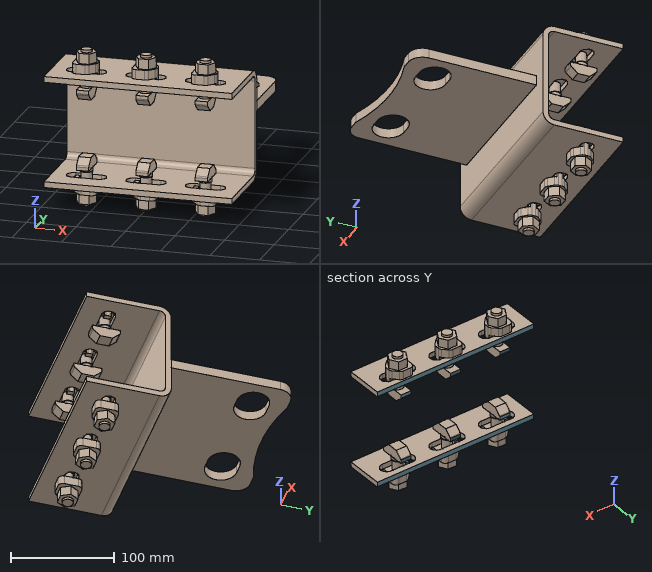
import cadquery as cq
import math

channel_width = 190.0
channel_height = 113.2
channel_depth = 86.0
wall = 6.0
bend_inner_radius = 6.0
bend_outer_radius = bend_inner_radius + wall

bolts_per_flange = 3
bolt_pitch = 60.0
bolt_from_web_face = 57.0
slot_length = 40.0
slot_width = 14.0

total_depth = 216.0
plate_length = total_depth - channel_depth
plate_width = 160.0
plate_thickness = 10.5
plate_corner_radius = 15.0
scoop_half_width = 55.3
scoop_depth = 9.0
plate_slot_length = 41.7
plate_slot_width = 32.0
plate_slot_pitch = 95.7
plate_slot_from_end = 34.0

total_height = 158.8
shank_diameter = 11.0
washer_side = 24.0
washer_thickness = 9.7
washer_corner_chamfer = 8.0
washer_corner_radius = 5.0
lug_width = 7.0
lug_height = 5.0
lug_length = 5.0
nut_across_flats = 18.0
nut_thickness = 10.4
head_width = 12.5
head_length = 28.3
head_height = 11.5
head_side_height = 4.3
head_end_length = 12.7
head_edge_radius = 2.2
head_gap = 9.7
collar_diameter = 12.7
collar_height = 4.0

web_face_y = channel_depth
plate_end_y = total_depth
bolt_y = web_face_y - bolt_from_web_face
bolt_xs = [(i - (bolts_per_flange - 1) / 2) * bolt_pitch for i in range(bolts_per_flange)]
flange_face_z = channel_height / 2


def make_channel():
    """U-channel with rounded bends and a row of slots through both flanges."""
    outer = (
        cq.Workplane("XY")
        .box(channel_width, channel_depth, channel_height, centered=(True, False, True))
        .edges("|X and >Y")
        .fillet(bend_outer_radius)
    )
    inner = (
        cq.Workplane("XY")
        .box(channel_width, channel_depth - wall, channel_height - 2 * wall, centered=(True, False, True))
        .edges("|X and >Y")
        .fillet(bend_inner_radius)
    )
    slots = (
        cq.Workplane("XY", origin=(0, bolt_y, 0))
        .pushPoints([(x, 0) for x in bolt_xs])
        .slot2D(slot_length, slot_width)
        .extrude(channel_height, both=True)
    )
    return outer.cut(inner).cut(slots)


def make_plate():
    """Flat plate with two rounded corners, a scooped end and two slots."""
    blank = (
        cq.Workplane("XY")
        .box(plate_width, plate_length, plate_thickness, centered=(True, False, True))
        .translate((0, web_face_y, 0))
        .edges("|Z and >Y")
        .fillet(plate_corner_radius)
    )
    scoop = (
        cq.Workplane("XY")
        .moveTo(-scoop_half_width, plate_end_y)
        .threePointArc((0, plate_end_y - scoop_depth), (scoop_half_width, plate_end_y))
        .close()
        .extrude(plate_thickness, both=True)
    )
    slots = (
        cq.Workplane("XY", origin=(0, plate_end_y - plate_slot_from_end, 0))
        .pushPoints([(-plate_slot_pitch / 2, 0), (plate_slot_pitch / 2, 0)])
        .slot2D(plate_slot_length, plate_slot_width)
        .extrude(plate_thickness, both=True)
    )
    return blank.cut(scoop).cut(slots)


def make_head(base_z):
    """T-head: long along Y, with sloping ends that narrow downward from base_z."""
    bottom_z = base_z - head_height
    side_z = base_z - head_side_height
    head = (
        cq.Workplane("YZ")
        .polyline([
            (-head_length / 2, base_z),
            (-head_length / 2, side_z),
            (-head_end_length / 2, bottom_z),
            (head_end_length / 2, bottom_z),
            (head_length / 2, side_z),
            (head_length / 2, base_z),
        ])
        .close()
        .extrude(head_width / 2, both=True)
    )
    shoulder_edges = cq.selectors.BoxSelector(
        (-head_width, -head_length, side_z - head_edge_radius / 2),
        (head_width, head_length, side_z + head_edge_radius / 2),
    )
    return head.edges("|X").edges(shoulder_edges).fillet(head_edge_radius)


def make_washer_block(bottom_z, top_z):
    """Square block; the two +X corners are cut off and all corners rounded."""
    return (
        cq.Workplane("XY", origin=(0, 0, bottom_z))
        .rect(washer_side, washer_side)
        .extrude(top_z - bottom_z)
        .edges("|Z and >X")
        .chamfer(washer_corner_chamfer)
        .edges("|Z")
        .fillet(washer_corner_radius)
    )


def make_washer():
    """Washer seated on Z = 0, with a lug on its +X side that reaches down into the slot."""
    lug_strip = (
        cq.Workplane("XY")
        .box(lug_length, lug_width, lug_height, centered=(False, True, False))
        .translate((washer_side / 2 - lug_length, 0, -lug_height))
    )
    lug = make_washer_block(-lug_height, 0).intersect(lug_strip)
    return make_washer_block(0, washer_thickness).union(lug)


def make_bolt():
    """Bolt, washer and nut as one solid, with the washer seated on Z = 0."""
    head_base_z = -(wall + head_gap)
    shank_top_z = total_height / 2 - flange_face_z
    nut = (
        cq.Workplane("XY", origin=(0, 0, washer_thickness))
        .polygon(6, nut_across_flats / math.cos(math.pi / 6))
        .extrude(nut_thickness)
    )
    shank = (
        cq.Workplane("XY", origin=(0, 0, head_base_z))
        .circle(shank_diameter / 2)
        .extrude(shank_top_z - head_base_z)
    )
    collar = (
        cq.Workplane("XY", origin=(0, 0, head_base_z))
        .circle(collar_diameter / 2)
        .extrude(collar_height)
    )
    return make_head(head_base_z).union(collar).union(shank).union(make_washer()).union(nut)


def make_bolts():
    """One bolt at every slot; the lower row is the upper row turned over about Y."""
    upper_bolt = make_bolt().translate((0, bolt_y, flange_face_z))
    lower_bolt = upper_bolt.rotate((0, 0, 0), (0, 1, 0), 180)
    return [bolt.translate((x, 0, 0)).val() for x in bolt_xs for bolt in (upper_bolt, lower_bolt)]


channel = make_channel()
plate = make_plate()
bolts = make_bolts()

result = cq.Compound.makeCompound([channel.val(), plate.val(), *bolts])